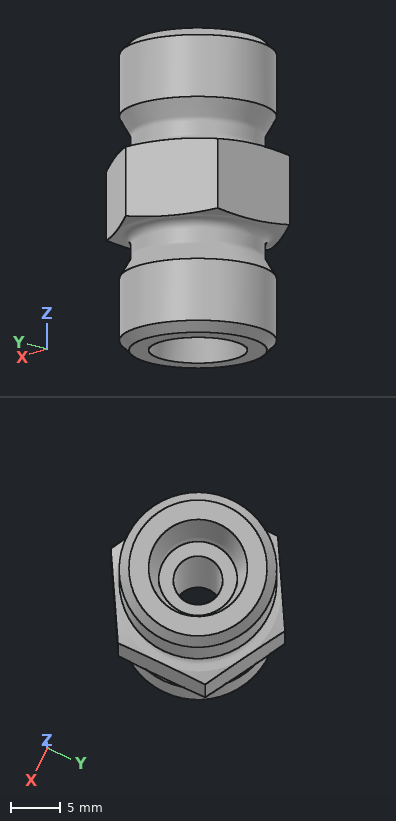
import cadquery as cq
import math

length = 32.0
hex_across_flats = 17.0
hex_height = 8.0

thread_diameter = 16.0
thread_length = 7.5
end_chamfer = 1.0
undercut_diameter = 13.7
runout_angle = 30.0
undercut_fillet = 1.0

bore_diameter = 5.0
socket_diameter = 8.0
socket_mouth_diameter = 10.0
socket_cone_depth = 4.93
socket_depth = 7.05

hex_chamfer_angle = 15.0

half_length = length / 2
half_hex = hex_height / 2
thread_radius = thread_diameter / 2
undercut_radius = undercut_diameter / 2
hex_corner_diameter = hex_across_flats / math.cos(math.pi / 6)


def make_hexagon():
    """Hexagon with flats facing X and its corners turned down by cones."""
    prism = (
        cq.Workplane("XY")
        .polygon(6, hex_corner_diameter)
        .extrude(half_hex, both=True)
        .rotate((0, 0, 0), (0, 0, 1), 30)
    )
    flat_radius = hex_across_flats / 2
    corner_radius = hex_corner_diameter / 2
    chamfer_drop = (corner_radius - flat_radius) * math.tan(math.radians(hex_chamfer_angle))
    turned_envelope = (
        cq.Workplane("XZ")
        .moveTo(0, -half_hex)
        .lineTo(flat_radius, -half_hex)
        .lineTo(corner_radius, -half_hex + chamfer_drop)
        .lineTo(corner_radius, half_hex - chamfer_drop)
        .lineTo(flat_radius, half_hex)
        .lineTo(0, half_hex)
        .close()
        .revolve(360, (0, 0), (0, 1))
    )
    return prism.intersect(turned_envelope)


def make_upper_end():
    """Turned end: fillet at the hexagon, undercut, run-out cone, thread, chamfer."""
    fillet_radius = undercut_radius + undercut_fillet
    arc_offset = undercut_fillet * (1 - math.sqrt(0.5))

    angle = math.radians(runout_angle)
    cone_end_radius = undercut_radius + undercut_fillet * (1 - math.cos(angle))
    cone_start_z = half_length - thread_length
    cone_end_z = cone_start_z - (thread_radius - cone_end_radius) / math.tan(angle)
    arc_end_z = cone_end_z - undercut_fillet * math.sin(angle)
    arc_mid_radius = undercut_radius + undercut_fillet * (1 - math.cos(angle / 2))
    arc_mid_z = arc_end_z + undercut_fillet * math.sin(angle / 2)

    return (
        cq.Workplane("XZ")
        .lineTo(fillet_radius, 0)
        .lineTo(fillet_radius, half_hex)
        .threePointArc(
            (undercut_radius + arc_offset, half_hex + arc_offset),
            (undercut_radius, half_hex + undercut_fillet),
        )
        .lineTo(undercut_radius, arc_end_z)
        .threePointArc((arc_mid_radius, arc_mid_z), (cone_end_radius, cone_end_z))
        .lineTo(thread_radius, cone_start_z)
        .lineTo(thread_radius, half_length - end_chamfer)
        .lineTo(thread_radius - end_chamfer, half_length)
        .lineTo(0, half_length)
        .close()
        .revolve(360, (0, 0), (0, 1))
    )


def make_upper_socket():
    """Tube socket: conical mouth running into a cylindrical seat."""
    mouth_radius = socket_mouth_diameter / 2
    socket_radius = socket_diameter / 2
    return (
        cq.Workplane("XZ")
        .moveTo(0, half_length)
        .lineTo(mouth_radius, half_length)
        .lineTo(socket_radius, half_length - socket_cone_depth)
        .lineTo(socket_radius, half_length - socket_depth)
        .lineTo(0, half_length - socket_depth)
        .close()
        .revolve(360, (0, 0), (0, 1))
    )


upper_end = make_upper_end()
upper_socket = make_upper_socket()
bore = cq.Workplane("XY").circle(bore_diameter / 2).extrude(half_length, both=True)

result = (
    make_hexagon()
    .union(upper_end)
    .union(upper_end.mirror("XY"))
    .cut(upper_socket)
    .cut(upper_socket.mirror("XY"))
    .cut(bore)
)